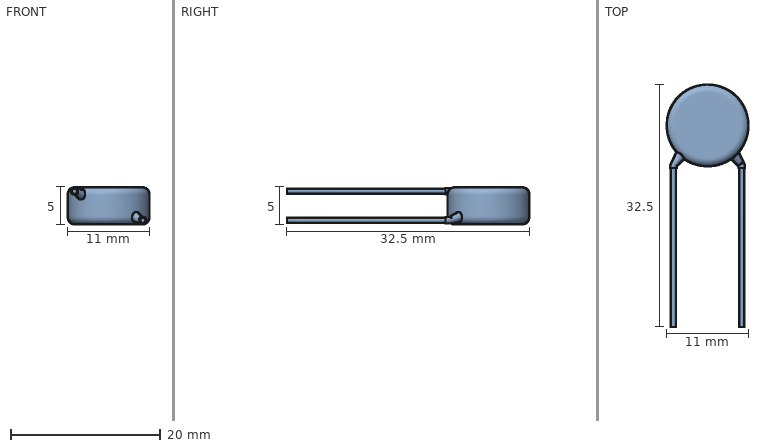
import cadquery as cq
import math

DISC_DIAMETER = 11.0
DISC_HEIGHT = 5.0
DISC_EDGE_RADIUS = 1.0

OVERALL_LENGTH = 32.5
LEAD_DIAMETER = 0.7
LEAD_X = 4.58
LEAD_Z = 1.95
LEAD_END_Y = DISC_DIAMETER / 2 - OVERALL_LENGTH

SLEEVE_DIAMETER = 0.9
SLEEVE_END_Y = -5.72
COLLAR_LENGTH = 0.1
BEND_RADIUS = 0.8
BEND_ANGLE = 35.0
CONE_ROOT_DIAMETER = 1.55
CONE_LENGTH = 1.85
CONE_DROP = 0.62

HALF_TURN = 180.0


def make_disc():
    underside = cq.Workplane("XY", origin=(0, 0, -DISC_HEIGHT / 2))
    disc = underside.circle(DISC_DIAMETER / 2).extrude(DISC_HEIGHT)
    return disc.edges("%CIRCLE").fillet(DISC_EDGE_RADIUS)


def make_sleeve():
    """Sleeve of the upper left lead, from its open end into the disc."""
    angle = math.radians(BEND_ANGLE)
    bend_end_x = -LEAD_X + BEND_RADIUS * (1 - math.cos(angle))
    bend_end_y = SLEEVE_END_Y + COLLAR_LENGTH + BEND_RADIUS * math.sin(angle)
    cone_direction = cq.Vector(math.sin(angle), math.cos(angle), 0)

    axis = (
        cq.Workplane("XY", origin=(0, 0, LEAD_Z))
        .moveTo(-LEAD_X, SLEEVE_END_Y)
        .lineTo(-LEAD_X, SLEEVE_END_Y + COLLAR_LENGTH)
        .tangentArcPoint((bend_end_x, bend_end_y), relative=False)
    )
    open_end = cq.Plane((-LEAD_X, SLEEVE_END_Y, LEAD_Z), (1, 0, 0), (0, 1, 0))
    collar_and_bend = cq.Workplane(open_end).circle(SLEEVE_DIAMETER / 2).sweep(axis)

    tip = cq.Vector(bend_end_x, bend_end_y, LEAD_Z)
    root = tip + cone_direction * CONE_LENGTH - cq.Vector(0, 0, CONE_DROP)
    tip_circle = cq.Wire.makeCircle(SLEEVE_DIAMETER / 2, tip, cone_direction)
    root_circle = cq.Wire.makeCircle(CONE_ROOT_DIAMETER / 2, root, cone_direction)
    cone = cq.Solid.makeLoft([tip_circle, root_circle], True)
    return collar_and_bend.union(cq.Workplane(cone))


def turned_about_y(shape, angle):
    return shape.rotate((0, 0, 0), (0, 1, 0), angle)


def make_housing():
    """Disc and both sleeves as one coating."""
    housing = make_disc()
    sleeve = make_sleeve()
    for angle in (0, HALF_TURN):
        housing = housing.union(turned_about_y(sleeve, angle))
    return housing


def make_lead():
    """Upper left lead, butting against the open end of its sleeve."""
    length = SLEEVE_END_Y - LEAD_END_Y
    start = cq.Vector(-LEAD_X, LEAD_END_Y, LEAD_Z)
    return cq.Solid.makeCylinder(LEAD_DIAMETER / 2, length, start, cq.Vector(0, 1, 0))


housing = make_housing()
leads = [turned_about_y(make_lead(), angle) for angle in (0, HALF_TURN)]

result = cq.Compound.makeCompound([housing.val(), *leads])